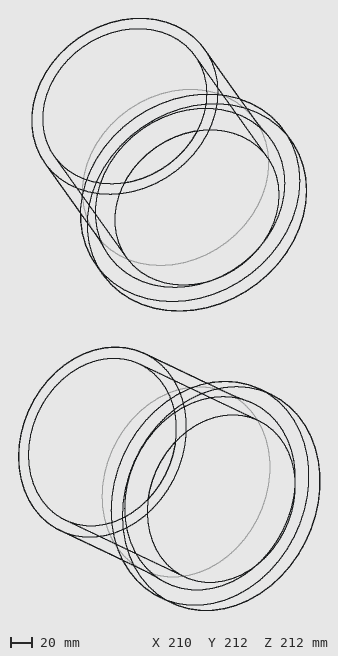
import cadquery as cq
import math

total_length = 210.0
flange_diameter = 212.0
flange_thickness = 20.0
pipe_diameter = 180.0
bore_diameter = 158.5
neck_length = 42.5
neck_end_diameter = 183.0

pipe_start = -total_length / 2
flange_end = total_length / 2
flange_start = flange_end - flange_thickness
neck_start = flange_start - neck_length

pipe_radius = pipe_diameter / 2
bore_radius = bore_diameter / 2
flange_radius = flange_diameter / 2
neck_end_radius = neck_end_diameter / 2

neck_rise = neck_end_radius - pipe_radius
neck_arc_radius = (neck_length**2 + neck_rise**2) / (2 * neck_rise)
neck_middle_x = neck_start + neck_length / 2
neck_middle_radius = pipe_radius + neck_arc_radius - math.sqrt(neck_arc_radius**2 - (neck_length / 2) ** 2)

wall_section = (
    cq.Workplane("XY")
    .moveTo(pipe_start, bore_radius)
    .lineTo(pipe_start, pipe_radius)
    .lineTo(neck_start, pipe_radius)
    .threePointArc((neck_middle_x, neck_middle_radius), (flange_start, neck_end_radius))
    .lineTo(flange_start, flange_radius)
    .lineTo(flange_end, flange_radius)
    .lineTo(flange_end, bore_radius)
    .close()
)

result = wall_section.revolve(360, (0, 0, 0), (1, 0, 0))